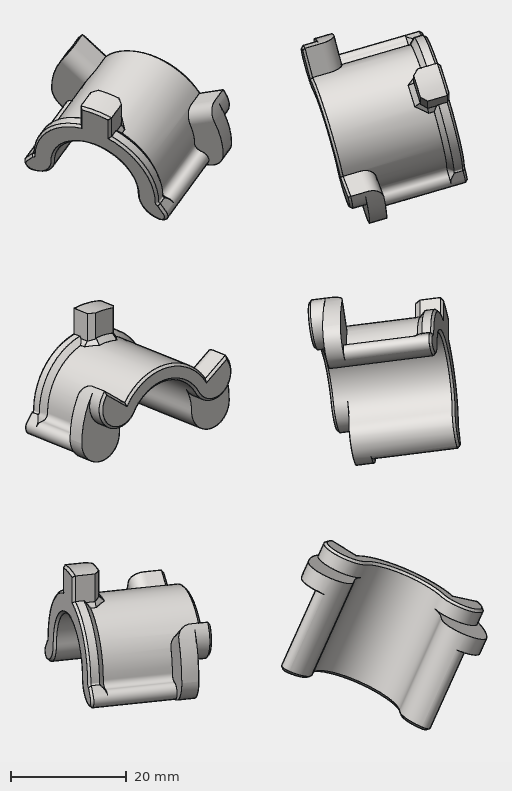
import cadquery as cq
import math

bore_radius = 8.2
rim_radius = 16.8
wall = 3.0
length = 21.5
edge_chamfer = 0.45

collar_rise = 1.0
collar_flat_end = 2.0
collar_end = collar_flat_end + collar_rise

tab_half_width = 3.0
tab_depth = 5.0
tab_corner = 1.0

skirt_side_top = 11.45
skirt_side_spread = 0.77
skirt_corner_slope = 1.5

pad_start = 15.45
pad_end = 18.55
pad_top_angle = 35.0
pad_fillet = 2.5
rear_cap_angle = 31.0

wall_radius = bore_radius + wall
collar_radius = wall_radius + collar_rise
cap_radius = (rim_radius - bore_radius) / 2
cap_center = (rim_radius + bore_radius) / 2
foot_radius = wall / 2
foot_z = foot_radius - cap_radius


def polar(radius, angle, center=(0, 0)):
    """Point at the given radius and angle (degrees) from a centre."""
    turn = math.radians(angle)
    return (center[0] + radius * math.cos(turn), center[1] + radius * math.sin(turn))


def flip(point):
    """Mirror an outline point to the other side of the clip."""
    return (-point[0], point[1])


def clip_outline(outer_radius, foot_angle, y):
    """C-shaped outline with rounded feet; each foot leaves its circle at foot_angle.

    A concave quarter arc about the cap centre leads from the outer wall to the foot.
    It meets the foot when foot_angle is 90; otherwise a straight flank bridges the two.
    """
    neck_radius = cap_center - outer_radius
    neck_center = (cap_center, 0)
    foot_center = (cap_center, foot_z)
    inner_end = (bore_radius, 0)
    cap_mid = polar(cap_radius, 225, neck_center)
    foot_bottom = (cap_center, -cap_radius)
    foot_mid = polar(foot_radius, (foot_angle - 90) / 2, foot_center)
    foot_end = polar(foot_radius, foot_angle, foot_center)
    neck_end = (cap_center, -neck_radius)
    neck_mid = polar(neck_radius, 225, neck_center)
    outer_end = (outer_radius, 0)

    path = cq.Workplane("XZ", origin=(0, y, 0)).moveTo(*flip(inner_end))
    path = path.threePointArc((0, bore_radius), inner_end)
    path = path.threePointArc(cap_mid, foot_bottom)
    path = path.threePointArc(foot_mid, foot_end)
    if foot_angle < 90:
        path = path.lineTo(*neck_end)
    path = path.threePointArc(neck_mid, outer_end)
    path = path.threePointArc((0, outer_radius), flip(outer_end))
    path = path.threePointArc(flip(neck_mid), flip(neck_end))
    if foot_angle < 90:
        path = path.lineTo(*flip(foot_end))
    path = path.threePointArc(flip(foot_mid), flip(foot_bottom))
    path = path.threePointArc(flip(cap_mid), flip(inner_end))
    return path.close()


def make_collar():
    """Front collar whose rear edge slopes down to the wall at 45 degrees."""
    neck_radius = cap_center - collar_radius
    flank_angle = math.degrees(math.asin(foot_radius / (-foot_z - neck_radius)))
    flat = clip_outline(collar_radius, flank_angle, 0).extrude(-collar_flat_end)
    block = clip_outline(collar_radius, flank_angle, collar_flat_end).extrude(-collar_rise)
    slope = clip_outline(wall_radius, 90, collar_end).extrude(collar_rise, taper=-45)
    return flat.union(block.intersect(slope))


def make_tab():
    """Upright tab with chamfered rear corners and a top on the rim radius."""
    tab = (
        cq.Workplane("XY", origin=(0, 0, bore_radius))
        .box(2 * tab_half_width, tab_depth, rim_radius - bore_radius, centered=(True, False, False))
        .edges("|Z and >Y")
        .chamfer(tab_corner)
    )
    rim = cq.Workplane("XZ").circle(rim_radius).extrude(-tab_depth)
    return tab.intersect(rim)


def skirt_section(z):
    """Plan outline of the skirt at height z, with slanted faces at the tab corners."""
    side_x = tab_half_width + skirt_side_spread * (skirt_side_top - z)
    side_y = tab_depth - tab_corner
    ridge_y = side_y + skirt_corner_slope * side_x
    return [(-side_x, 0), (side_x, 0), (side_x, side_y), (0, ridge_y), (-side_x, side_y)]


def make_skirt():
    """Sloped skirt that spreads the tab onto the wall; its rear is a 45 degree cone."""
    wedge = (
        cq.Workplane("XY", origin=(0, 0, bore_radius))
        .polyline(skirt_section(bore_radius))
        .close()
        .workplane(offset=collar_radius - bore_radius)
        .polyline(skirt_section(collar_radius))
        .close()
        .loft(ruled=True)
    )
    tip_y = tab_depth + collar_radius
    cone = (
        cq.Workplane("YZ")
        .polyline([(0, 0), (0, collar_radius), (tab_depth, collar_radius), (tip_y, 0)])
        .close()
        .revolve(360, (0, 0, 0), (1, 0, 0))
    )
    return wedge.intersect(cone)


def pad_outline(cap_angle, y):
    """Ring sector from the flat pad top down to a round cap at cap_angle."""
    middle_angle = (cap_angle + pad_top_angle) / 2
    center = polar(cap_center, cap_angle)
    return (
        cq.Workplane("XZ", origin=(0, y, 0))
        .moveTo(*polar(bore_radius, pad_top_angle))
        .lineTo(*polar(rim_radius, pad_top_angle))
        .threePointArc(polar(rim_radius, middle_angle), polar(rim_radius, cap_angle))
        .threePointArc(polar(cap_radius, cap_angle - 90, center), polar(bore_radius, cap_angle))
        .threePointArc(polar(bore_radius, middle_angle), polar(bore_radius, pad_top_angle))
        .close()
    )


def make_pad():
    """Right-hand pad: full sector with a filleted top edge, then a shorter rear sector."""
    top_x, top_z = polar(cap_center, pad_top_angle)
    top_edge = cq.selectors.NearestToPointSelector((top_x, pad_start, top_z))
    pad = pad_outline(0, pad_start).extrude(pad_start - pad_end)
    pad = pad.edges(top_edge).fillet(pad_fillet)
    return pad.union(pad_outline(rear_cap_angle, pad_end).extrude(pad_end - length))


def make_rear_ring():
    """Upper part of the wall that continues behind the pads."""
    left = 180 - rear_cap_angle
    return (
        cq.Workplane("XZ", origin=(0, pad_end, 0))
        .moveTo(*polar(bore_radius, rear_cap_angle))
        .lineTo(*polar(wall_radius, rear_cap_angle))
        .threePointArc((0, wall_radius), polar(wall_radius, left))
        .lineTo(*polar(bore_radius, left))
        .threePointArc((0, bore_radius), polar(bore_radius, rear_cap_angle))
        .close()
        .extrude(pad_end - length)
    )


wall_core = cq.Workplane("XZ").circle(bore_radius + wall / 2).extrude(-length)
tab = make_tab().union(make_skirt()).cut(wall_core)
pad = make_pad()

result = (
    clip_outline(wall_radius, 90, 0)
    .extrude(-pad_end)
    .union(make_collar())
    .union(tab)
    .union(make_rear_ring())
    .union(pad)
    .union(pad.mirror("YZ"))
    .clean()
)
result = result.faces("<Y").edges().chamfer(edge_chamfer)
result = result.faces(">Y").edges().chamfer(edge_chamfer)